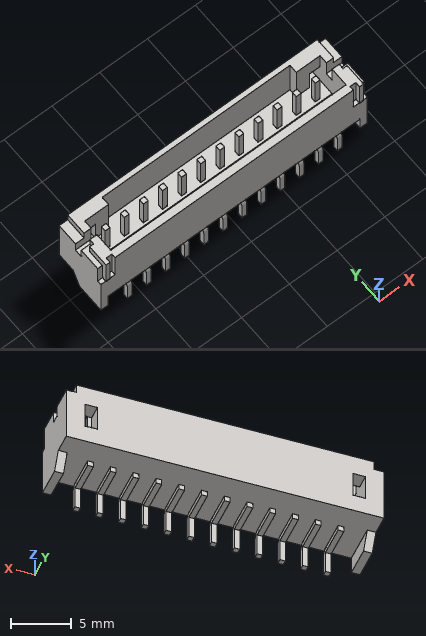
import cadquery as cq

LENGTH = 27.9
DEPTH = 5.52
HEIGHT = 6.0
TOTAL_HEIGHT = 8.6

SHOULDER_DROP = 0.85
TIER_INSET_BACK = 0.9
TIER_INSET_FRONT = 0.47
TIER_STEP_Y = 2.1

CAVITY_END_WALL = 1.65
CAVITY_FRONT_WALL = 0.75
CAVITY_BACK_WALL = 1.35
RECESS_INSET = 4.13
RECESS_BACK_WALL = 0.5
FLOOR_DEPTH_BACK = 4.32
FLOOR_DEPTH_FRONT = 5.52
RAMP_BACK_Y = 2.6
RAMP_FRONT_Y = 1.98

NOTCH_FRONT_Y = RAMP_BACK_Y
NOTCH_WIDTH = 0.75
NOTCH_DEPTH = 1.93

WINDOW_WIDTH = 1.1
WINDOW_DROP = NOTCH_DEPTH

SLOT_LENGTH = 1.48
SLOT_DEPTH = 0.42
SLOT_DROP = 3.0
RAIL_DROP = 2.93
FRONT_OVERHANG = 0.08

LEG_THICKNESS = 0.78
LEG_DROP = 1.6
LEG_TOP_Y = 3.68
LEG_FOOT_Y = 2.82

PIN_COUNT = 12
PIN_ROW_SPAN = 21.99
PIN_PITCH = PIN_ROW_SPAN / (PIN_COUNT - 1)
PIN_SIZE = 0.5
PIN_TOP_DROP = 1.0
PIN_BACK_Y = NOTCH_FRONT_Y + NOTCH_WIDTH
PIN_BEND_RADIUS = 0.59
PIN_BOTTOM_Z = HEIGHT - TOTAL_HEIGHT

END_X = LENGTH / 2
SIDES = (-1, 1)


def block(x0, x1, y0, y1, z0, z1):
    """Box between two opposite corners, given in any order along X."""
    return (
        cq.Workplane("XY")
        .box(abs(x1 - x0), y1 - y0, z1 - z0, centered=False)
        .translate((min(x0, x1), y0, z0))
    )


def cavity():
    """Open-topped pocket with a ramped floor and a deeper recess along the back wall."""
    half = END_X - CAVITY_END_WALL
    back_y = DEPTH - CAVITY_BACK_WALL
    floor_back = HEIGHT - FLOOR_DEPTH_BACK
    floor_front = HEIGHT - FLOOR_DEPTH_FRONT
    main = (
        cq.Workplane("YZ", origin=(-half, 0, 0))
        .moveTo(CAVITY_FRONT_WALL, HEIGHT)
        .lineTo(CAVITY_FRONT_WALL, floor_front)
        .lineTo(RAMP_FRONT_Y, floor_front)
        .lineTo(RAMP_BACK_Y, floor_back)
        .lineTo(back_y, floor_back)
        .lineTo(back_y, HEIGHT)
        .close()
        .extrude(2 * half)
    )
    recess_half = END_X - RECESS_INSET
    recess = block(-recess_half, recess_half, back_y, DEPTH - RECESS_BACK_WALL, floor_back, HEIGHT)
    return main.union(recess)


def end_cuts(side):
    """Everything removed from one end: shoulder, notch and front corner slot."""
    end = side * END_X
    back_step = side * (END_X - TIER_INSET_BACK)
    front_step = side * (END_X - TIER_INSET_FRONT)
    shoulder_z = HEIGHT - SHOULDER_DROP
    shoulder = block(end, front_step, 0, DEPTH, shoulder_z, HEIGHT)
    shoulder = shoulder.union(block(end, back_step, TIER_STEP_Y, DEPTH, shoulder_z, HEIGHT))
    notch = block(
        end, side * (END_X - CAVITY_END_WALL),
        NOTCH_FRONT_Y, NOTCH_FRONT_Y + NOTCH_WIDTH,
        HEIGHT - NOTCH_DEPTH, HEIGHT,
    )
    slot = block(end, side * (END_X - SLOT_LENGTH), 0, SLOT_DEPTH, HEIGHT - SLOT_DROP, HEIGHT)
    return shoulder.union(notch).union(slot)


def window(side):
    """Opening through the thick part of the back wall, reaching down to the cavity floor."""
    outer_x = END_X - CAVITY_END_WALL
    return block(
        side * outer_x, side * (outer_x - WINDOW_WIDTH),
        DEPTH - CAVITY_BACK_WALL, DEPTH,
        HEIGHT - FLOOR_DEPTH_BACK, HEIGHT - WINDOW_DROP,
    )


def rail(side):
    """Upright rail in the corner slot, standing slightly proud of the front face."""
    return block(
        side * (END_X - TIER_INSET_FRONT), side * (END_X - TIER_INSET_BACK),
        -FRONT_OVERHANG, SLOT_DEPTH,
        HEIGHT - RAIL_DROP, HEIGHT,
    )


def leg(side):
    """End plate below the underside with a sloped back edge."""
    return (
        cq.Workplane("YZ", origin=(side * (END_X - LEG_THICKNESS / 2), 0, 0))
        .moveTo(0, 0)
        .lineTo(LEG_TOP_Y, 0)
        .lineTo(LEG_FOOT_Y, -LEG_DROP)
        .lineTo(0, -LEG_DROP)
        .close()
        .extrude(LEG_THICKNESS / 2, both=True)
    )


def pin(x):
    """Square contact: upright in the cavity, forward under the housing, then down."""
    front_y = -FRONT_OVERHANG
    top_z = HEIGHT - PIN_TOP_DROP
    return (
        cq.Workplane("YZ", origin=(x, 0, 0))
        .moveTo(PIN_BACK_Y, top_z)
        .lineTo(PIN_BACK_Y, -PIN_SIZE)
        .lineTo(front_y + PIN_SIZE, -PIN_SIZE)
        .lineTo(front_y + PIN_SIZE, PIN_BOTTOM_Z)
        .lineTo(front_y, PIN_BOTTOM_Z)
        .lineTo(front_y, -PIN_BEND_RADIUS)
        .radiusArc((front_y + PIN_BEND_RADIUS, 0), PIN_BEND_RADIUS)
        .lineTo(PIN_BACK_Y - PIN_SIZE, 0)
        .lineTo(PIN_BACK_Y - PIN_SIZE, top_z)
        .close()
        .extrude(PIN_SIZE / 2, both=True)
    )


housing = block(-END_X, END_X, 0, DEPTH, 0, HEIGHT).cut(cavity())
for side in SIDES:
    housing = housing.cut(end_cuts(side)).cut(window(side)).union(rail(side)).union(leg(side))

result = housing
for i in range(PIN_COUNT):
    pin_x = i * PIN_PITCH - PIN_ROW_SPAN / 2
    result = result.union(pin(pin_x))